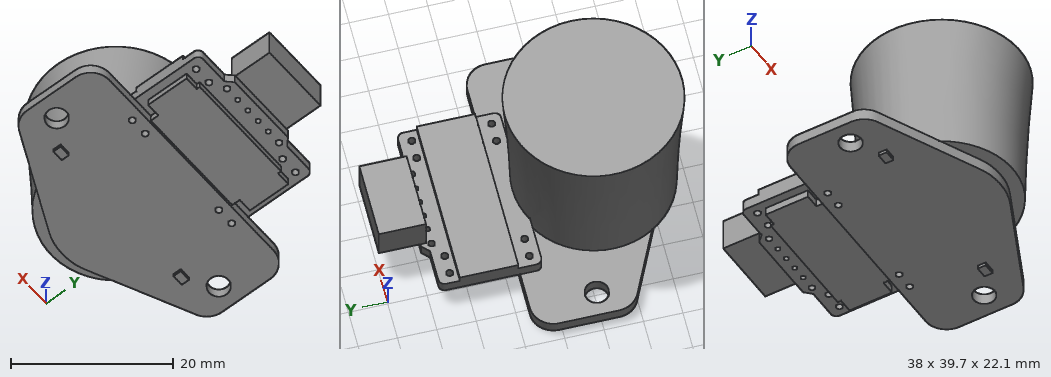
import cadquery as cq


CUP_HEIGHT = 19.95
CUP_BASE_RADIUS = 10.3
CUP_MIDDLE_RADIUS = 10.6
CUP_TOP_RADIUS = 11.25

PLATE_THICKNESS = 1.65
PLATE_HALF_WIDTH = 19.0
PLATE_BACK_Y = 12.05
PLATE_SHOULDER_Y = -0.48
PLATE_FRONT_Y = -8.45
PLATE_FRONT_HALF_WIDTH = 1.95
PLATE_CORNER_RADIUS = 2.98
PLATE_FRONT_RADIUS = 7.95
MOUNT_HOLE_DIAMETER = 3.0
MOUNT_HOLE_X = 15.8
MOUNT_HOLE_Y = 3.5
FOOT_X = 11.7
FOOT_Y = 0.87
FOOT_WIDTH = 1.63
FOOT_DEPTH = 1.15
FOOT_HEIGHT = 0.48
SELECTION_MARGIN = 0.4

BOARD_THICKNESS = 1.6
BOARD_WIDTH = 22.15
BOARD_FRONT_Y = 9.18
BOARD_BACK_Y = 22.25
BOARD_CORNER_RADIUS = 0.8
TAB_DEPTH = 0.9
TAB_BACK_HALF_WIDTH = 5.2
TAB_ROOT_HALF_WIDTH = TAB_BACK_HALF_WIDTH + TAB_DEPTH

RAISED_FRONT_Y = 12.27
RAISED_BACK_Y = 19.7
RAISED_HEIGHT = 0.8

UNDER_DEPTH = 1.1
UNDER_LONG_WIDTH = 15.9
UNDER_LONG_BACK_Y = 19.82
UNDER_SHORT_WIDTH = 19.85
UNDER_SHORT_FRONT_Y = 13.23
UNDER_SHORT_BACK_Y = 19.35

CORNER_HOLE_DIAMETER = 0.87
CORNER_HOLE_XS = (7.2, 9.7)
CORNER_HOLE_FRONT_Y = 10.53
CORNER_HOLE_BACK_Y = 20.65
HEADER_HOLE_Y = 21.8
HEADER_HOLE_DIAMETER = 0.65
HEADER_HOLE_PITCH = 2.0
HEADER_HOLE_COUNT = 4
TAB_HOLE_DIAMETER = 0.85
TAB_HOLE_X = 5.1

CONNECTOR_WIDTH = 9.95
CONNECTOR_DEPTH = 6.0
CONNECTOR_BACK_Y = 28.48
CONNECTOR_BOTTOM_Z = 1.8
CONNECTOR_HEIGHT = 4.7


def centered_block(width, front_y, back_y, bottom_z, height):
    """Box symmetric about X = 0, given by its Y range and its bottom."""
    return (
        cq.Workplane("XY")
        .box(width, back_y - front_y, height, centered=(True, False, False))
        .translate((0, front_y, bottom_z))
    )


def drill(body, points, diameter):
    """Cut vertical holes right through the body."""
    cutter = (
        cq.Workplane("XY")
        .pushPoints(points)
        .circle(diameter / 2)
        .extrude(CUP_HEIGHT, both=True)
    )
    return body.cut(cutter)


def corner_hole_points(row_y):
    """Centres of one row of corner holes, two at each side."""
    return [(side * x, row_y) for side in (-1, 1) for x in CORNER_HOLE_XS]


def make_cup(board):
    cup = (
        cq.Workplane("XZ")
        .lineTo(CUP_BASE_RADIUS, 0)
        .threePointArc((CUP_MIDDLE_RADIUS, CUP_HEIGHT / 2), (CUP_TOP_RADIUS, CUP_HEIGHT))
        .lineTo(0, CUP_HEIGHT)
        .close()
        .revolve(360, (0, 0), (0, 1))
    )
    return cup.cut(board)


def make_plate():
    right_side = [
        (PLATE_FRONT_HALF_WIDTH, PLATE_FRONT_Y),
        (PLATE_HALF_WIDTH, PLATE_SHOULDER_Y),
        (PLATE_HALF_WIDTH, PLATE_BACK_Y),
    ]
    left_side = [(-x, y) for x, y in reversed(right_side)]
    plate = cq.Workplane("XY").polyline(right_side + left_side).close().extrude(-PLATE_THICKNESS)
    middle_y = (PLATE_FRONT_Y + PLATE_SHOULDER_Y) / 2
    corners = cq.selectors.BoxSelector(
        (-PLATE_HALF_WIDTH - SELECTION_MARGIN, middle_y, -PLATE_THICKNESS),
        (PLATE_HALF_WIDTH + SELECTION_MARGIN, PLATE_BACK_Y + SELECTION_MARGIN, 0),
    )
    plate = plate.edges("|Z").edges(corners).fillet(PLATE_CORNER_RADIUS)
    front_corners = cq.selectors.BoxSelector(
        (-PLATE_FRONT_HALF_WIDTH - SELECTION_MARGIN, PLATE_FRONT_Y - SELECTION_MARGIN, -PLATE_THICKNESS),
        (PLATE_FRONT_HALF_WIDTH + SELECTION_MARGIN, middle_y, 0),
    )
    plate = plate.edges("|Z").edges(front_corners).fillet(PLATE_FRONT_RADIUS)
    mount_points = [(side * MOUNT_HOLE_X, MOUNT_HOLE_Y) for side in (-1, 1)]
    plate = drill(plate, mount_points, MOUNT_HOLE_DIAMETER)
    plate = drill(plate, corner_hole_points(CORNER_HOLE_FRONT_Y), CORNER_HOLE_DIAMETER)
    feet = (
        cq.Workplane("XY", origin=(0, 0, -PLATE_THICKNESS))
        .pushPoints([(side * FOOT_X, FOOT_Y) for side in (-1, 1)])
        .rect(FOOT_WIDTH, FOOT_DEPTH)
        .extrude(-FOOT_HEIGHT)
    )
    return plate.union(feet)


def make_board():
    board = centered_block(BOARD_WIDTH, BOARD_FRONT_Y, BOARD_BACK_Y, 0, BOARD_THICKNESS)
    board = board.edges("|Z").fillet(BOARD_CORNER_RADIUS)
    tab = (
        cq.Workplane("XY")
        .polyline([
            (-TAB_ROOT_HALF_WIDTH, BOARD_BACK_Y),
            (TAB_ROOT_HALF_WIDTH, BOARD_BACK_Y),
            (TAB_BACK_HALF_WIDTH, BOARD_BACK_Y + TAB_DEPTH),
            (-TAB_BACK_HALF_WIDTH, BOARD_BACK_Y + TAB_DEPTH),
        ])
        .close()
        .extrude(BOARD_THICKNESS)
    )
    raised = centered_block(
        BOARD_WIDTH, RAISED_FRONT_Y, RAISED_BACK_Y, BOARD_THICKNESS, RAISED_HEIGHT
    )
    under_long = centered_block(
        UNDER_LONG_WIDTH, PLATE_BACK_Y, UNDER_LONG_BACK_Y, -UNDER_DEPTH, UNDER_DEPTH
    )
    under_short = centered_block(
        UNDER_SHORT_WIDTH, UNDER_SHORT_FRONT_Y, UNDER_SHORT_BACK_Y, -UNDER_DEPTH, UNDER_DEPTH
    )
    board = board.union(tab).union(raised).union(under_long).union(under_short)

    corner_points = corner_hole_points(CORNER_HOLE_FRONT_Y) + corner_hole_points(CORNER_HOLE_BACK_Y)
    header_points = [
        ((i - (HEADER_HOLE_COUNT - 1) / 2) * HEADER_HOLE_PITCH, HEADER_HOLE_Y)
        for i in range(HEADER_HOLE_COUNT)
    ]
    tab_points = [(side * TAB_HOLE_X, HEADER_HOLE_Y) for side in (-1, 1)]
    board = drill(board, corner_points, CORNER_HOLE_DIAMETER)
    board = drill(board, header_points, HEADER_HOLE_DIAMETER)
    return drill(board, tab_points, TAB_HOLE_DIAMETER)


def make_connector():
    front_y = CONNECTOR_BACK_Y - CONNECTOR_DEPTH
    return centered_block(
        CONNECTOR_WIDTH, front_y, CONNECTOR_BACK_Y, CONNECTOR_BOTTOM_Z, CONNECTOR_HEIGHT
    )


plate = make_plate()
board = make_board()
cup = make_cup(board)
connector = make_connector()

result = cq.Compound.makeCompound([plate.val(), board.val(), cup.val(), connector.val()])